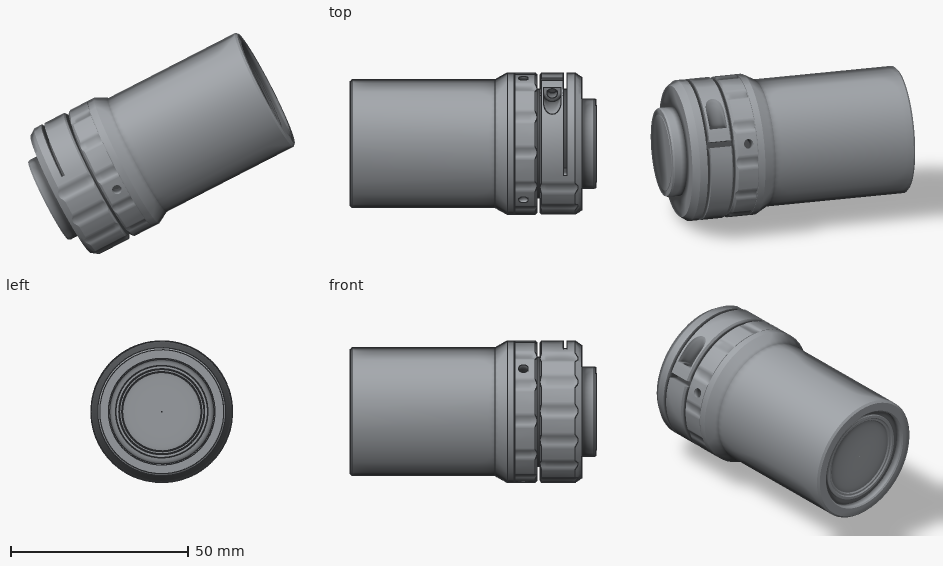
import cadquery as cq
import math


ring_radius = 20.0
tube_radius = 18.05
core_radius = 15.4
spigot_radius = 12.65
end_disc_radius = 10.8

total_length = 69.5
cone_start = 40.9
cone_end = 44.4
focus_ring_start = 46.5
focus_ring_end = 52.8
clamp_ring_start = 53.6
clamp_slot_start = 60.15
clamp_slot_end = 61.2
clamp_bevel_start = 63.4
clamp_ring_end = 65.4
end_disc_thickness = 0.15

parting_width = 0.2
parting_depth = 0.2
parting_start = focus_ring_start - parting_width

tube_chamfer = 0.55
ring_chamfer = 0.6
clamp_chamfer_length = 0.4
clamp_bevel_drop = 1.3
spigot_chamfer_length = 0.5
spigot_chamfer_drop = 0.2

recess_mouth_radius = 15.1
recess_radius = 14.7
recess_chamfer = recess_mouth_radius - recess_radius
recess_depth = 2.15
seat_radius = 13.05
seat_height = 0.7
seat_chamfer = 0.15
seat_step_radius = 12.15
lens_rim_radius = 11.3
seat_step_depth = seat_height / 2
seat_step_slope = 0.3
lens_radius = lens_rim_radius - seat_step_slope
pinhole_radius = 0.1
pinhole_depth = 0.2

focus_flute_count = 12
focus_flute_pitch = 360 / focus_flute_count
focus_flute_first = 7.5
focus_flute_depth = 0.55
focus_trough_radius = 2.7
focus_shoulder_radius = 1.8
clamp_flute_count = 7
clamp_flute_pitch = 25.0
clamp_flute_depth = 0.6
clamp_trough_radius = 3.2
clamp_shoulder_radius = 2.3

hole_count = 3
hole_first_angle = 22.5
hole_diameter = 2.7
hole_station = 48.9

split_angle = 24.5
split_width = 1.7
slot_half_angle = 92.1
screw_station = 57.05
screw_axis_radius = 17.65
screw_head_diameter = 5.1
screw_hole_diameter = 2.9
screw_seat_offset = 4.45

cut_margin = 0.7
outside_radius = ring_radius + cut_margin


def polar(radius, angle):
    """(y, z) of a point at an angle around the X axis."""
    turn = math.radians(angle)
    return radius * math.cos(turn), radius * math.sin(turn)


def turn_about_axis(solid, angle):
    return solid.rotate((0, 0, 0), (1, 0, 0), angle)


def make_body():
    """Revolve the half section, points being (x, radius)."""
    seat_face = recess_depth - seat_height
    step_face = seat_face + seat_step_depth
    spigot_face = total_length - end_disc_thickness
    section = [
        (recess_depth, 0),
        (recess_depth, lens_radius),
        (step_face, lens_rim_radius),
        (step_face, seat_step_radius - seat_step_slope),
        (seat_face, seat_step_radius),
        (seat_face, seat_radius - seat_chamfer),
        (seat_face + seat_chamfer, seat_radius),
        (recess_depth, seat_radius),
        (recess_depth, recess_radius),
        (recess_chamfer, recess_radius),
        (0, recess_mouth_radius),
        (0, tube_radius - tube_chamfer),
        (tube_chamfer, tube_radius),
        (cone_start, tube_radius),
        (cone_end, ring_radius),
        (parting_start, ring_radius),
        (parting_start, ring_radius - parting_depth),
        (focus_ring_start, ring_radius - parting_depth),
        (focus_ring_start, ring_radius),
        (focus_ring_end - ring_chamfer, ring_radius),
        (focus_ring_end, ring_radius - ring_chamfer),
        (focus_ring_end, core_radius),
        (clamp_ring_start, core_radius),
        (clamp_ring_start, ring_radius - ring_chamfer),
        (clamp_ring_start + clamp_chamfer_length, ring_radius),
        (clamp_bevel_start, ring_radius),
        (clamp_ring_end, ring_radius - clamp_bevel_drop),
        (clamp_ring_end, spigot_radius),
        (spigot_face - spigot_chamfer_length, spigot_radius),
        (spigot_face, spigot_radius - spigot_chamfer_drop),
        (spigot_face, end_disc_radius),
        (total_length, end_disc_radius),
        (total_length, 0),
    ]
    body = cq.Workplane("XY").polyline(section).close().revolve(360, (0, 0, 0), (1, 0, 0))
    pinhole = cq.Workplane("YZ", origin=(recess_depth, 0, 0)).circle(pinhole_radius).extrude(pinhole_depth)
    return body.cut(pinhole)


def flute_cutter(start, end, depth, trough_radius, shoulder_radius):
    """Cutter for one flute at angle 0; trough and shoulder arcs meet tangentially."""
    bottom_radius = ring_radius - depth
    trough_center = bottom_radius + trough_radius
    shoulder_center = ring_radius - shoulder_radius
    center_gap = trough_radius + shoulder_radius
    cosine = (trough_center**2 + shoulder_center**2 - center_gap**2) / (2 * trough_center * shoulder_center)
    edge_angle = math.degrees(math.acos(cosine))

    shoulder_y, shoulder_z = polar(shoulder_center, edge_angle)
    blend = trough_radius / center_gap
    blend_y = trough_center + blend * (shoulder_y - trough_center)
    blend_z = blend * shoulder_z
    blend_angle = math.degrees(math.atan2(blend_z - shoulder_z, blend_y - shoulder_y))
    mid_offset = polar(shoulder_radius, (blend_angle + edge_angle) / 2)
    mid_y = shoulder_y + mid_offset[0]
    mid_z = shoulder_z + mid_offset[1]
    edge_y, edge_z = polar(ring_radius, edge_angle)
    outer_y, outer_z = polar(outside_radius, edge_angle)

    return (
        cq.Workplane("YZ", origin=(start, 0, 0))
        .moveTo(outer_y, -outer_z)
        .lineTo(edge_y, -edge_z)
        .threePointArc((mid_y, -mid_z), (blend_y, -blend_z))
        .threePointArc((bottom_radius, 0), (blend_y, blend_z))
        .threePointArc((mid_y, mid_z), (edge_y, edge_z))
        .lineTo(outer_y, outer_z)
        .close()
        .extrude(end - start)
    )


def cut_focus_flutes(body):
    cutter = flute_cutter(
        focus_ring_start, focus_ring_end, focus_flute_depth, focus_trough_radius, focus_shoulder_radius
    )
    for index in range(focus_flute_count):
        body = body.cut(turn_about_axis(cutter, focus_flute_first + index * focus_flute_pitch))
    return body


def cut_clamp_flutes(body):
    """Flutes centred opposite the clamp split."""
    cutter = flute_cutter(
        clamp_ring_start, clamp_ring_end, clamp_flute_depth, clamp_trough_radius, clamp_shoulder_radius
    )
    first_angle = split_angle + 180 - clamp_flute_pitch * (clamp_flute_count - 1) / 2
    for index in range(clamp_flute_count):
        body = body.cut(turn_about_axis(cutter, first_angle + index * clamp_flute_pitch))
    return body


def cut_focus_holes(body):
    drill = (
        cq.Workplane("XZ", origin=(hole_station, outside_radius, 0))
        .circle(hole_diameter / 2)
        .extrude(outside_radius - core_radius)
    )
    for index in range(hole_count):
        body = body.cut(turn_about_axis(drill, hole_first_angle + index * 360 / hole_count))
    return body


def cut_clamp(body):
    """Slot, split and pinch screw, modelled with the split at angle 0."""
    slot = (
        cq.Workplane("YZ", origin=(clamp_slot_start, 0, 0))
        .moveTo(*polar(core_radius, -slot_half_angle))
        .lineTo(*polar(outside_radius, -slot_half_angle))
        .threePointArc((outside_radius, 0), polar(outside_radius, slot_half_angle))
        .lineTo(*polar(core_radius, slot_half_angle))
        .threePointArc((core_radius, 0), polar(core_radius, -slot_half_angle))
        .close()
        .extrude(clamp_slot_end - clamp_slot_start)
    )
    split_shell = (
        cq.Workplane("YZ", origin=(clamp_ring_start, 0, 0))
        .circle(outside_radius)
        .circle(core_radius)
        .extrude(clamp_slot_start - clamp_ring_start)
    )
    split_slab = cq.Workplane("XY").box(
        total_length, outside_radius, split_width, centered=(False, False, True)
    )
    screw_seat = cq.Workplane("XY", origin=(screw_station, screw_axis_radius, screw_seat_offset))
    head_bore = screw_seat.circle(screw_head_diameter / 2).extrude(outside_radius)
    head_opening = screw_seat.box(
        screw_head_diameter, outside_radius, outside_radius, centered=(True, False, False)
    )
    screw_hole = screw_seat.circle(screw_hole_diameter / 2).extrude(-screw_seat_offset)
    for cutter in (slot, split_shell.intersect(split_slab), head_bore, head_opening, screw_hole):
        body = body.cut(turn_about_axis(cutter, split_angle))
    return body


body = make_body()
body = cut_focus_flutes(body)
body = cut_clamp_flutes(body)
body = cut_focus_holes(body)
result = cut_clamp(body)